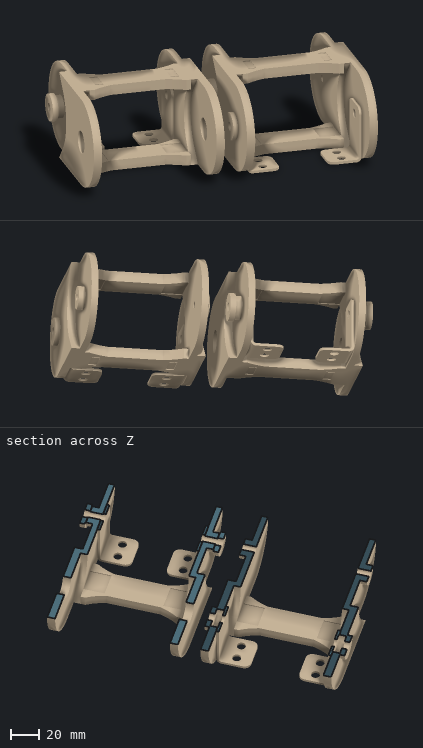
import cadquery as cq
import math

OVERALL_LENGTH = 216.2

CHEEK_HEIGHT = 65.0
PIVOT_SPACING = 71.0
INNER_GAP = 74.5
INNER_CHEEK = 5.0
OUTER_CHEEK = 6.0
RELIEF_RADIUS = 33.0
TIP_REACH = 15.1
BOSS_DIAMETER = 16.6
BOSS_HEIGHT = 5.0
BOSS_BORE = 5.0
SOCKET_DIAMETER = 16.6

BRIDGE_THICKNESS = 7.5
BRIDGE_END_WIDTH = 33.3
BRIDGE_WAIST_WIDTH = 21.6
FLARE_START = 3.5
FLARE_END = 17.3
FLARE_RADIUS = 49.7
WINDOW_LENGTH = 16.0
WINDOW_WIDTH = 5.8
WINDOW_OFFSET = 6.5
WINDOW_DEPTH = 0.2
GROOVE_WIDTH = 1.5
GROOVE_DEPTH = 2.2
POCKET_LENGTH = 18.0
POCKET_WIDTH = 15.5
POCKET_DEPTH = 0.6

SHEET = 2.0
BRACKET_WIDTH = 25.3
BRACKET_HEIGHT = 40.6
FOOT_LENGTH = 24.5
BRACKET_CORNER = 5.0
BEND_INSIDE = 2.0
PIVOT_HOLE = 6.5
FOOT_HOLE = 6.5
FOOT_HOLE_SPACING = 11.9
FOOT_HOLE_OFFSET = 13.2

CAP_DIAMETER = 20.0
CAP_THICKNESS = 4.0
COVER_SUNK = 0.6

CHEEK_RADIUS = CHEEK_HEIGHT / 2
BOSS_X = -PIVOT_SPACING / 2
SOCKET_X = PIVOT_SPACING / 2
INNER_FACE = INNER_GAP / 2
STEP_FACE = INNER_FACE + INNER_CHEEK
OUTER_FACE = STEP_FACE + OUTER_CHEEK
BOSS_FACE = STEP_FACE + BOSS_HEIGHT
COVER_SEAT = OUTER_FACE - COVER_SUNK
BRIDGE_X = SOCKET_X - TIP_REACH - BRIDGE_END_WIDTH / 2
UNDERSIDE = CHEEK_RADIUS - BRIDGE_THICKNESS
BEND_OUTSIDE = BEND_INSIDE + SHEET
FRONT_HALF = BOSS_FACE + CAP_THICKNESS
REAR_HALF = COVER_SEAT + CAP_THICKNESS
FRONT_Y = FRONT_HALF - OVERALL_LENGTH / 2
REAR_Y = OVERALL_LENGTH / 2 - REAR_HALF


def disc(x, start, thickness, diameter):
    """Cylinder along +Y from start, centred on the pivot height."""
    return cq.Workplane("XZ", origin=(x, start, 0)).circle(diameter / 2).extrude(-thickness)


def cap_ring(x, start):
    """Round cap with a screw hole, from start outwards along +Y."""
    hole = disc(x, start, CAP_THICKNESS, PIVOT_HOLE)
    return disc(x, start, CAP_THICKNESS, CAP_DIAMETER).cut(hole)


def mirrored_pair(body):
    """A +Y side body and its mirror image on the -Y side."""
    return [body, body.mirror("XZ")]


def cheek_plate(start, thickness):
    """Plate rounded about the boss pivot, hollowed at its other end about the socket pivot."""
    tip_distance = math.hypot(TIP_REACH, CHEEK_RADIUS)
    tangent_angle = math.atan2(CHEEK_RADIUS, TIP_REACH) - math.acos(RELIEF_RADIUS / tip_distance)
    tip_x = SOCKET_X - TIP_REACH
    arc_x = SOCKET_X - RELIEF_RADIUS * math.cos(tangent_angle)
    arc_z = RELIEF_RADIUS * math.sin(tangent_angle)
    return (
        cq.Workplane("XZ", origin=(0, start, 0))
        .moveTo(BOSS_X, CHEEK_RADIUS)
        .lineTo(tip_x, CHEEK_RADIUS)
        .lineTo(arc_x, arc_z)
        .threePointArc((SOCKET_X - RELIEF_RADIUS, 0), (arc_x, -arc_z))
        .lineTo(tip_x, -CHEEK_RADIUS)
        .lineTo(BOSS_X, -CHEEK_RADIUS)
        .threePointArc((BOSS_X - CHEEK_RADIUS, 0), (BOSS_X, CHEEK_RADIUS))
        .close()
        .extrude(-thickness)
    )


def cheek():
    """Stepped +Y cheek, with the bored boss on one pivot and the socket on the other."""
    inner = cheek_plate(INNER_FACE, INNER_CHEEK)
    outer = cheek_plate(STEP_FACE, OUTER_CHEEK).mirror("YZ")
    boss = disc(BOSS_X, STEP_FACE, BOSS_HEIGHT, BOSS_DIAMETER)
    bore = disc(BOSS_X, INNER_FACE, BOSS_FACE - INNER_FACE, BOSS_BORE)
    socket = disc(SOCKET_X, STEP_FACE, OUTER_CHEEK, SOCKET_DIAMETER)
    plates = inner.union(outer.cut(socket), clean=False)
    return plates.union(boss, clean=False).cut(bore, clean=False)


def bridge_plate():
    """Upper bridge without recesses: a plate waisted between two flared ends."""
    end = BRIDGE_END_WIDTH / 2
    waist = BRIDGE_WAIST_WIDTH / 2
    flare_start = INNER_FACE - FLARE_START
    flare_end = INNER_FACE - FLARE_END
    return (
        cq.Workplane("XY", origin=(BRIDGE_X, 0, UNDERSIDE))
        .moveTo(end, INNER_FACE)
        .lineTo(end, flare_start)
        .radiusArc((waist, flare_end), -FLARE_RADIUS)
        .lineTo(waist, -flare_end)
        .radiusArc((end, -flare_start), -FLARE_RADIUS)
        .lineTo(end, -INNER_FACE)
        .lineTo(-end, -INNER_FACE)
        .lineTo(-end, -flare_start)
        .radiusArc((-waist, -flare_end), -FLARE_RADIUS)
        .lineTo(-waist, flare_end)
        .radiusArc((-end, flare_start), -FLARE_RADIUS)
        .lineTo(-end, INNER_FACE)
        .close()
        .extrude(BRIDGE_THICKNESS)
    )


def window_recess(y):
    """Shallow recess in the bridge's outer face, with a deeper groove at each end."""
    groove_x = (WINDOW_LENGTH - GROOVE_WIDTH) / 2
    outside = cq.Workplane("XY", origin=(BRIDGE_X, y, CHEEK_RADIUS))
    grooves = (
        outside.pushPoints([(-groove_x, 0), (groove_x, 0)])
        .rect(GROOVE_WIDTH, WINDOW_WIDTH)
        .extrude(-GROOVE_DEPTH)
    )
    return outside.rect(WINDOW_LENGTH, WINDOW_WIDTH).extrude(-WINDOW_DEPTH).union(grooves)


def inside_pocket(y):
    """Shallow pocket in the bridge's inner face, next to a cheek."""
    inside = cq.Workplane("XY", origin=(BRIDGE_X, y, UNDERSIDE))
    return inside.rect(POCKET_LENGTH, POCKET_WIDTH).extrude(POCKET_DEPTH)


def bridge():
    """Upper bridge with a window recess and an inside pocket near each cheek."""
    body = bridge_plate()
    window_y = INNER_FACE - WINDOW_OFFSET - WINDOW_WIDTH / 2
    pocket_y = INNER_FACE - POCKET_WIDTH / 2
    for side in (-1, 1):
        body = body.cut(window_recess(side * window_y)).cut(inside_pocket(side * pocket_y))
    return body


def link_frame():
    """Both cheeks and both bridges as one solid, centred on Y = 0."""
    frame, opposite_cheek = mirrored_pair(cheek())
    upper = bridge()
    for piece in (upper, upper.mirror("XY"), opposite_cheek):
        frame = frame.union(piece, clean=False)
    return frame


def covered_link_frame():
    """Link frame whose two sockets are closed by covers sunk into the outer faces."""
    frame = link_frame()
    for cover in mirrored_pair(cap_ring(SOCKET_X, COVER_SEAT)):
        frame = frame.union(cover, clean=False)
    return frame


def bracket(pivot_x, cheek_face):
    """Bent sheet bracket against a +Y cheek face, its foot level with the bottom of the link."""
    sheet = (
        cq.Workplane("YZ", origin=(-BRACKET_WIDTH / 2, 0, 0))
        .polyline(
            [
                (0, 0),
                (0, BRACKET_HEIGHT),
                (-SHEET, BRACKET_HEIGHT),
                (-SHEET, SHEET),
                (-FOOT_LENGTH, SHEET),
                (-FOOT_LENGTH, 0),
            ]
        )
        .close()
        .extrude(BRACKET_WIDTH)
    )
    inside_corner = cq.selectors.NearestToPointSelector((0, -SHEET, SHEET))
    outside_corner = cq.selectors.NearestToPointSelector((0, 0, 0))
    sheet = sheet.edges(inside_corner).fillet(BEND_INSIDE)
    sheet = sheet.edges(outside_corner).fillet(BEND_OUTSIDE)
    sheet = sheet.faces(">Z").edges("|Y").fillet(BRACKET_CORNER)
    sheet = sheet.faces("<Y").edges("|Z").fillet(BRACKET_CORNER)
    foot_holes = (
        cq.Workplane("XY", origin=(0, -FOOT_HOLE_OFFSET, 0))
        .pushPoints([(-FOOT_HOLE_SPACING / 2, 0), (FOOT_HOLE_SPACING / 2, 0)])
        .circle(FOOT_HOLE / 2)
        .extrude(SHEET)
    )
    placed = sheet.cut(foot_holes).translate((pivot_x, cheek_face, -CHEEK_RADIUS))
    return placed.cut(disc(pivot_x, cheek_face - SHEET, SHEET, PIVOT_HOLE))


front_link = [link_frame()]
front_brackets = mirrored_pair(bracket(BOSS_X, INNER_FACE))
front_caps = mirrored_pair(cap_ring(BOSS_X, BOSS_FACE))
rear_link = [covered_link_frame()]
rear_brackets = mirrored_pair(bracket(SOCKET_X, STEP_FACE))

front_bodies = [body.translate((0, FRONT_Y, 0)) for body in front_link + front_brackets + front_caps]
rear_bodies = [body.translate((0, REAR_Y, 0)) for body in rear_link + rear_brackets]

result = cq.Compound.makeCompound([body.val() for body in front_bodies + rear_bodies])